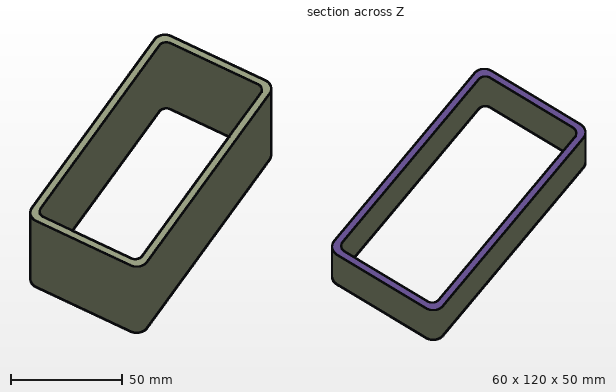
import cadquery as cq

width = 60.0
depth = 120.0
length = 50.0
wall = 3.6
outer_radius = 1.5 * wall
inner_radius = wall


def rounded_bar(size_x, size_y, corner_radius):
    """Upright bar centred on the Z axis, with its vertical edges rounded."""
    bar = cq.Workplane("XY").rect(size_x, size_y).extrude(length)
    return bar.edges("|Z").fillet(corner_radius)


outer_bar = rounded_bar(width, depth, outer_radius)
bore = rounded_bar(width - 2 * wall, depth - 2 * wall, inner_radius)

result = outer_bar.cut(bore)